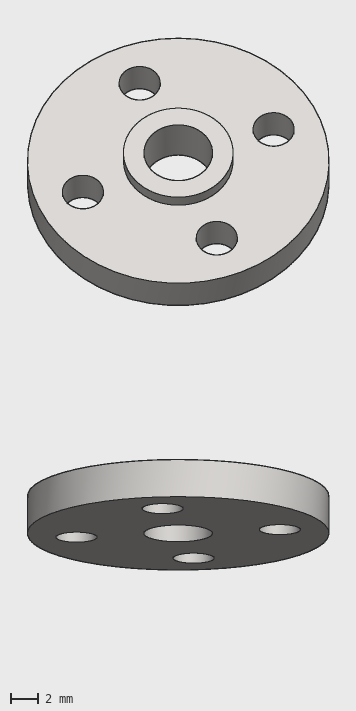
import cadquery as cq

flange_diameter = 22.0
flange_thickness = 2.8
hub_diameter = 8.0
hub_height = 1.0
bore_diameter = 5.0
bolt_hole_diameter = 3.0
bolt_circle_diameter = 15.0
bolt_hole_count = 4
first_bolt_angle = 45.0

total_height = flange_thickness + hub_height


def make_body():
    """Flange disc on the XY plane with a raised hub on top."""
    flange = cq.Workplane("XY").circle(flange_diameter / 2).extrude(flange_thickness)
    hub = cq.Workplane("XY").circle(hub_diameter / 2).extrude(total_height)
    return flange.union(hub)


def make_bore():
    """Central through bore."""
    return cq.Workplane("XY").circle(bore_diameter / 2).extrude(total_height)


def make_bolt_holes():
    """Through holes evenly spaced on the bolt circle."""
    return (
        cq.Workplane("XY")
        .polarArray(bolt_circle_diameter / 2, first_bolt_angle, 360, bolt_hole_count)
        .circle(bolt_hole_diameter / 2)
        .extrude(flange_thickness)
    )


result = make_body().cut(make_bore()).cut(make_bolt_holes())